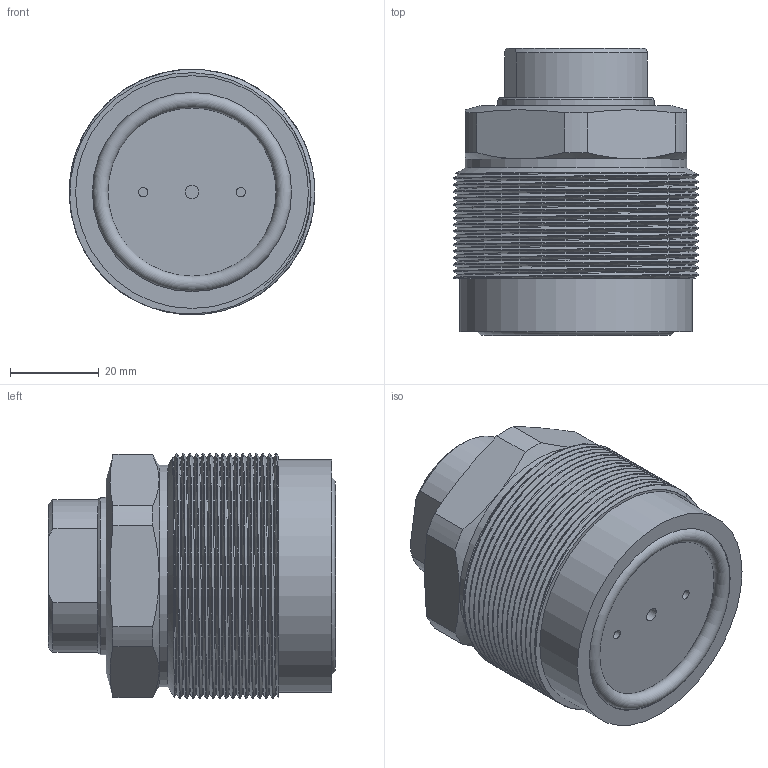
import cadquery as cq
import math


barrel_length = 12.0
thread_end_y = 37.0
hex_start_y = 39.0
hex_end_y = 51.0

barrel_radius = 26.3
neck_radius = 25.0
hex_across_flats = 50.0
hex_corner_radius = 27.5
hex_front_chamfer_angle = 30.0
hex_rear_chamfer_angle = 15.0
hex_rear_face_radius = 21.7

thread_radius = 27.75
thread_pitch = 1.5
thread_depth = 0.92
thread_flank_angle = 30.0
thread_crest_flat = thread_pitch / 8
thread_end_chamfer_angle = 30.0
thread_phase_angle = -40.0
groove_clearance = 0.2

ring_section_radius = 1.75
ring_center_radius = 20.75
ring_protrusion = 0.86
recess_depth = 2 * ring_section_radius - ring_protrusion

center_hole_diameter = 3.1
side_hole_diameter = 2.1
side_hole_offset = 11.0
hole_depth = 6.0

collar_radius = 17.75
collar_length = 1.85
collar_chamfer = 0.5
spigot_radius = 17.25
fitting_length = 13.0
spigot_chamfer = 1.0
spigot_across_flats = 30.0
fitting_turn_angle = 9.0


def slope_run(radial_height, angle):
    """Axial run of a cone that rises by radial_height at angle from the radial plane."""
    return radial_height * math.tan(math.radians(angle))


def revolve_about_y(points):
    """Solid of revolution from (radius, y) outline points."""
    return cq.Workplane("XY").polyline(points).close().revolve(360, (0, 0, 0), (0, 1, 0))


def floor_hole(x, diameter):
    """Blind hole running in +Y from the recess floor."""
    return cq.Workplane("XZ", origin=(x, recess_depth, 0)).circle(diameter / 2).extrude(-hole_depth)


def make_groove_turns():
    """Single turns of the right-handed thread groove, stacked end to end along +Y."""
    root_radius = thread_radius - thread_depth
    crest_half_gap = (thread_pitch - thread_crest_flat) / 2
    root_half_gap = crest_half_gap - slope_run(thread_depth, thread_flank_angle)
    outer_radius = thread_radius + groove_clearance

    helix = cq.Wire.makeHelix(thread_pitch, thread_pitch, thread_radius)
    profile = (
        cq.Workplane("XZ")
        .moveTo(root_radius, -root_half_gap)
        .lineTo(thread_radius, -crest_half_gap)
        .lineTo(outer_radius, -crest_half_gap)
        .lineTo(outer_radius, crest_half_gap)
        .lineTo(thread_radius, crest_half_gap)
        .lineTo(root_radius, root_half_gap)
        .close()
    )
    turn = (
        profile.sweep(cq.Workplane(obj=helix), isFrenet=True)
        .rotate((0, 0, 0), (0, 0, 1), thread_phase_angle)
        .rotate((0, 0, 0), (1, 0, 0), -90)
        .val()
    )
    turn_count = math.ceil((thread_end_y - barrel_length) / thread_pitch) + 1
    return [
        turn.translate(cq.Vector(0, barrel_length + (index - 1) * thread_pitch, 0))
        for index in range(turn_count)
    ]


def make_threaded_band():
    chamfer_run = slope_run(thread_radius - neck_radius, thread_end_chamfer_angle)
    band = revolve_about_y([
        (0, barrel_length),
        (thread_radius, barrel_length),
        (thread_radius, thread_end_y - chamfer_run),
        (neck_radius, thread_end_y),
        (0, thread_end_y),
    ]).val()
    turns = make_groove_turns()
    band = band.cut(*turns[0::2])
    band = band.cut(*turns[1::2])
    return cq.Workplane(obj=band)


def make_hexagon():
    """Hexagon with flats facing +X and -X, rounded corners and coned ends."""
    hex_length = hex_end_y - hex_start_y
    hex_corner_diameter = hex_across_flats / math.cos(math.radians(30))
    prism = (
        cq.Workplane("XZ", origin=(0, hex_start_y, 0))
        .polygon(6, hex_corner_diameter)
        .extrude(-hex_length)
        .rotate((0, 0, 0), (0, 1, 0), 30)
    )
    front_run = slope_run(hex_corner_radius - neck_radius, hex_front_chamfer_angle)
    rear_run = slope_run(hex_corner_radius - hex_rear_face_radius, hex_rear_chamfer_angle)
    envelope = revolve_about_y([
        (0, hex_start_y),
        (neck_radius, hex_start_y),
        (hex_corner_radius, hex_start_y + front_run),
        (hex_corner_radius, hex_end_y - rear_run),
        (hex_rear_face_radius, hex_end_y),
        (0, hex_end_y),
    ])
    return prism.intersect(envelope)


def make_housing():
    barrel = cq.Workplane("XZ").circle(barrel_radius).extrude(-barrel_length)
    neck = (
        cq.Workplane("XZ", origin=(0, thread_end_y, 0))
        .circle(neck_radius)
        .extrude(-(hex_start_y - thread_end_y))
    )
    face_recess = (
        cq.Workplane("XZ")
        .circle(ring_center_radius + ring_section_radius)
        .extrude(-recess_depth)
    )

    housing = barrel.union(make_threaded_band()).union(neck).union(make_hexagon())
    housing = housing.cut(face_recess).cut(floor_hole(0, center_hole_diameter))
    for side in (-1, 1):
        housing = housing.cut(floor_hole(side * side_hole_offset, side_hole_diameter))
    return housing


def make_sealing_ring():
    section_center_y = ring_section_radius - ring_protrusion
    return (
        cq.Workplane("XY")
        .center(ring_center_radius, section_center_y)
        .circle(ring_section_radius)
        .revolve(360, (-ring_center_radius, 0), (-ring_center_radius, 1))
    )


def make_rear_fitting():
    """Round collar against the rear of the hexagon, with a two-flat spigot behind it."""
    collar_end_y = hex_end_y + collar_length
    fitting_end_y = hex_end_y + fitting_length
    collar = (
        cq.Workplane("XZ", origin=(0, hex_end_y, 0))
        .circle(collar_radius)
        .extrude(-collar_length)
        .faces(">Y")
        .chamfer(collar_chamfer)
    )
    spigot_length = fitting_length - collar_length
    spigot = (
        cq.Workplane("XZ", origin=(0, collar_end_y, 0))
        .circle(spigot_radius)
        .extrude(-spigot_length)
        .faces(">Y")
        .chamfer(spigot_chamfer)
    )
    flats = cq.Workplane("XY").box(
        spigot_across_flats, 2 * fitting_end_y, 2 * collar_radius
    )
    fitting = collar.union(spigot.intersect(flats))
    return fitting.rotate((0, 0, 0), (0, 1, 0), fitting_turn_angle)


housing = make_housing()
sealing_ring = make_sealing_ring()
rear_fitting = make_rear_fitting()

result = cq.Compound.makeCompound([
    housing.val(),
    sealing_ring.val(),
    rear_fitting.val(),
])